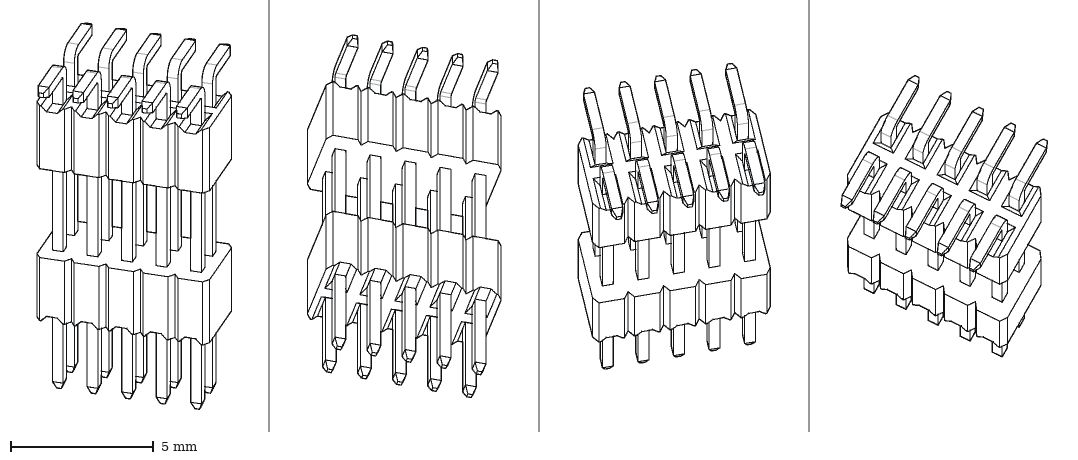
import cadquery as cq
import math

columns = 5
housing_length = 6.35
pitch = housing_length / columns
row_offset = pitch / 2

pin_width = 0.4
tip_length = 0.3
tip_width = 0.17
total_height = 12.8
total_depth = 5.5
bend_outer_radius = 0.5
bend_inner_radius = bend_outer_radius - pin_width

housing_depth = 3.01
housing_height = 2.5
lower_housing_base = 3.0
housing_gap = 3.51
upper_housing_base = lower_housing_base + housing_height + housing_gap
notch_half_width = 0.18
notch_depth = 0.25
pocket_depth = 0.2
pocket_slope = 45.0

column_places = [(i - (columns - 1) / 2) * pitch for i in range(columns)]


def segment_outline(x):
    """Octagonal outline of one column; neighbouring corner cuts form the V notches."""
    half_length = pitch / 2
    half_depth = housing_depth / 2
    flat_x = half_length - notch_half_width
    flat_y = half_depth - notch_depth
    return [
        (x - half_length, -flat_y),
        (x - flat_x, -half_depth),
        (x + flat_x, -half_depth),
        (x + half_length, -flat_y),
        (x + half_length, flat_y),
        (x + flat_x, half_depth),
        (x - flat_x, half_depth),
        (x - half_length, flat_y),
    ]


def pocket(x):
    """Sloped pocket in the top face, running from behind a front-row pin out through the front."""
    slope_run = pocket_depth * math.tan(math.radians(pocket_slope))
    mouth_width = pin_width + 2 * slope_run
    mouth_length = housing_depth
    mouth_inner_y = -row_offset + pin_width / 2 + slope_run
    return (
        cq.Workplane("XY", origin=(x, mouth_inner_y - mouth_length / 2, housing_height))
        .rect(mouth_width, mouth_length)
        .extrude(-pocket_depth, taper=pocket_slope)
    )


def make_housing():
    """Housing standing on Z = 0 with its pockets facing up."""
    body = cq.Workplane("XY")
    for x in column_places:
        segment = cq.Workplane("XY").polyline(segment_outline(x)).close().extrude(housing_height)
        body = body.union(segment)
    for x in column_places:
        front_pocket = pocket(x)
        body = body.cut(front_pocket).cut(front_pocket.mirror("XZ"))
    return body


def pin_tip(base):
    """Blunt pyramid growing along the normal of the given workplane."""
    taper = math.degrees(math.atan((pin_width - tip_width) / 2 / tip_length))
    return base.rect(pin_width, pin_width).extrude(tip_length, taper=taper)


def make_front_pin():
    """Upright pin of the front row at X = 0, bent forward at the top."""
    half = pin_width / 2
    inner_y = -row_offset + half
    outer_y = -row_offset - half
    arm_end_y = -total_depth / 2 + tip_length
    arm_bottom_z = total_height - pin_width
    bend_start_z = total_height - bend_outer_radius
    bend_end_y = inner_y - bend_outer_radius
    outer_mid = bend_outer_radius * math.sqrt(0.5)
    inner_mid = bend_inner_radius * math.sqrt(0.5)
    shank = (
        cq.Workplane("YZ")
        .moveTo(outer_y, tip_length)
        .lineTo(inner_y, tip_length)
        .lineTo(inner_y, bend_start_z)
        .threePointArc((bend_end_y + outer_mid, bend_start_z + outer_mid), (bend_end_y, total_height))
        .lineTo(arm_end_y, total_height)
        .lineTo(arm_end_y, arm_bottom_z)
        .lineTo(bend_end_y, arm_bottom_z)
        .threePointArc((bend_end_y + inner_mid, bend_start_z + inner_mid), (outer_y, bend_start_z))
        .close()
        .extrude(half, both=True)
    )
    facing_down = cq.Plane(origin=(0, -row_offset, tip_length), xDir=(1, 0, 0), normal=(0, 0, -1))
    lower_tip = pin_tip(cq.Workplane(facing_down))
    arm_tip = pin_tip(cq.Workplane("XZ", origin=(0, arm_end_y, total_height - half)))
    return shank.union(lower_tip).union(arm_tip)


housing = make_housing()
upper_housing = housing.translate((0, 0, upper_housing_base))
lower_housing = housing.mirror("XY").translate((0, 0, lower_housing_base + housing_height))

front_pin = make_front_pin()
back_pin = front_pin.mirror("XZ")

result = upper_housing.union(lower_housing)
for x in column_places:
    result = result.union(front_pin.translate((x, 0, 0)))
    result = result.union(back_pin.translate((x, 0, 0)))